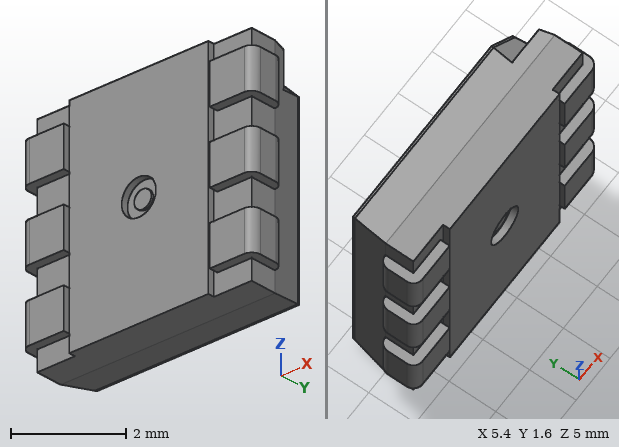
import cadquery as cq
import math

overall_width = 5.4
overall_thickness = 1.6
lead_thickness = 0.2
body_side = overall_width - 2 * lead_thickness

lead_top = 0.8
pad_standoff = 0.055
lens_thickness = 0.05
lens_base = overall_thickness - lens_thickness

taper_angle = 10
lens_side = body_side - 2 * (lens_base - lead_top) * math.tan(math.radians(taper_angle))
notch_leg = 0.635
notch_depth = 0.5
notch_floor = overall_thickness - notch_depth

pad_width = 3.24
gate_diameter = 0.8
gate_depth = 0.15
gate_boss_diameter = 0.4
gate_boss_height = 0.05

leads_per_side = 3
lead_pitch = 1.6
lead_width = 0.9
foot_length = 1.0


def plane_at(y):
    """XZ plane at height y whose normal points along +Y."""
    return cq.Workplane(cq.Plane(origin=(0, y, 0), xDir=(1, 0, 0), normal=(0, 1, 0)))


def corner_notch():
    """Triangular prism that cuts the +X +Z corner down to the notch floor."""
    corner = body_side / 2
    leg = notch_leg + (body_side - lens_side)
    return (
        plane_at(notch_floor)
        .polyline([(corner, -corner), (corner - leg, -corner), (corner, leg - corner)])
        .close()
        .extrude(notch_depth)
    )


def make_housing():
    belt = plane_at(lead_thickness).rect(body_side, body_side).extrude(lead_top - lead_thickness)
    pad = plane_at(pad_standoff).rect(pad_width, body_side).extrude(lead_thickness - pad_standoff)
    cap = plane_at(lead_top).rect(body_side, body_side).extrude(lens_base - lead_top, taper=taper_angle)
    housing = belt.union(pad).union(cap).cut(corner_notch())

    recess = plane_at(pad_standoff).circle(gate_diameter / 2).extrude(gate_depth)
    boss_base = pad_standoff + gate_depth - gate_boss_height
    boss = plane_at(boss_base).circle(gate_boss_diameter / 2).extrude(gate_boss_height)
    return housing.cut(recess.cut(boss))


def make_lens():
    """Thin window plate that continues the taper and corner notch of the housing."""
    plate = plane_at(lens_base).rect(lens_side, lens_side).extrude(lens_thickness, taper=taper_angle)
    return plate.cut(corner_notch())


def make_lead(side, z):
    """L-shaped lead wrapped around the housing edge; side is +1 for +X and -1 for -X."""
    outer = overall_width / 2
    inner = body_side / 2
    toe = outer - foot_length
    arc_reach = lead_thickness * math.sqrt(0.5)
    lower_bend_mid = (side * (inner + arc_reach), lead_thickness - arc_reach)
    upper_bend_mid = (side * (inner + arc_reach), lead_top - lead_thickness + arc_reach)
    return (
        cq.Workplane("XY", origin=(0, 0, z - lead_width / 2))
        .moveTo(side * toe, 0)
        .lineTo(side * inner, 0)
        .threePointArc(lower_bend_mid, (side * outer, lead_thickness))
        .lineTo(side * outer, lead_top - lead_thickness)
        .threePointArc(upper_bend_mid, (side * inner, lead_top))
        .lineTo(side * inner, lead_thickness)
        .lineTo(side * toe, lead_thickness)
        .close()
        .extrude(lead_width)
    )


housing = make_housing()
lens = make_lens()
leads = []
for side in (-1, 1):
    for row in range(leads_per_side):
        z = (row - (leads_per_side - 1) / 2) * lead_pitch
        leads.append(make_lead(side, z).val())

result = cq.Compound.makeCompound([housing.val(), lens.val(), *leads])